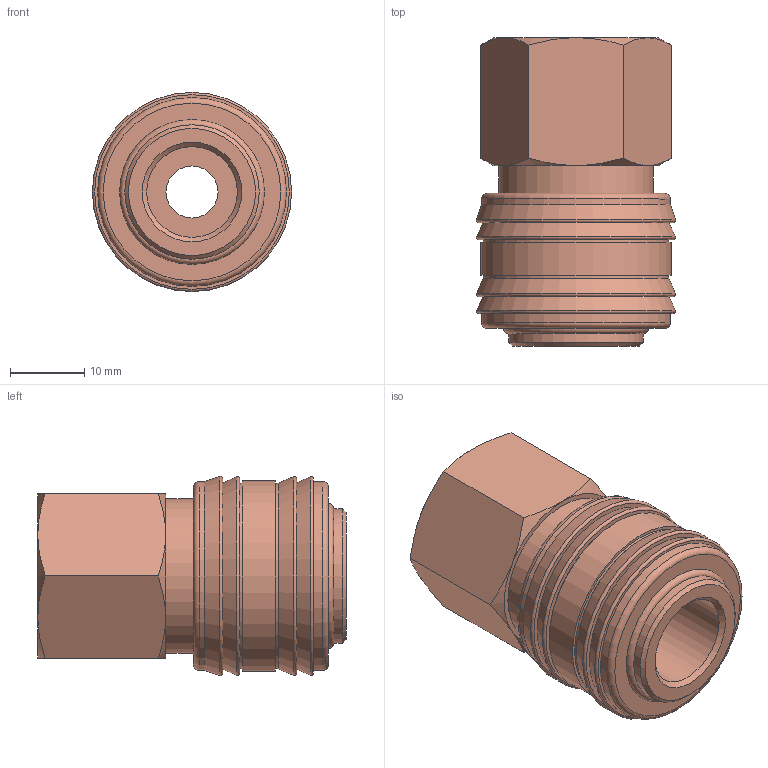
import cadquery as cq
import math

total_length = 41.5

nose_radius = 9.05
nose_chamfer = 0.5
shoulder_radius = 9.75
shoulder_fillet = 0.7
shoulder_start = 1.7

sleeve_start = 2.4
sleeve_end = 20.55
sleeve_radius = 12.7
sleeve_fillet = 0.75

ridge_radius = 13.4
rim_round = 0.3
ridge_root_radius = 12.5
front_ridge_face = 4.4
ridge_pitch = 2.28
rear_ridge_face = 14.35
rear_taper_end = 19.1

belt_radius = 12.85
belt_start = 9.55
belt_end = 14.0
groove_radius = 12.45
belt_taper_start = 9.15

neck_radius = 10.4
hex_sides = 6
hex_length = 17.2
hex_across_flats = 22.2
hex_chamfer_angle = 30
hex_start = total_length - hex_length

plug_bore_radius = 6.1
plug_bore_depth = sleeve_end
bore_chamfer = 0.6
passage_radius = 3.5


def revolve_about_y(profile):
    """Turn a closed profile, drawn as (radius, y), about the Y axis."""
    return profile.close().revolve(360, (0, 0, 0), (0, 1, 0))


def ridge(face_y, back_radius, back_y):
    """Ring with a flat front at face_y whose back tapers down to back_radius at back_y."""
    center_radius = ridge_radius - rim_round
    center_y = face_y + rim_round
    radial_gap = back_radius - center_radius
    axial_gap = back_y - center_y
    back_distance = math.hypot(radial_gap, axial_gap)
    tangent_angle = math.atan2(axial_gap, radial_gap) - math.acos(rim_round / back_distance)

    def rim_point(angle):
        return (
            center_radius + rim_round * math.cos(angle),
            center_y + rim_round * math.sin(angle),
        )

    profile = (
        cq.Workplane("XY")
        .moveTo(neck_radius, face_y)
        .lineTo(center_radius, face_y)
        .threePointArc(rim_point(0), rim_point(tangent_angle))
        .lineTo(back_radius, back_y)
        .lineTo(neck_radius, back_y)
    )
    return revolve_about_y(profile)


def cylinder(radius, start_y, end_y):
    """Solid cylinder on the Y axis between two axial positions."""
    return cq.Workplane("XZ", origin=(0, start_y, 0)).circle(radius).extrude(start_y - end_y)


def make_nose():
    nose = cylinder(nose_radius, 0, sleeve_start).faces("<Y").chamfer(nose_chamfer)
    shoulder = cylinder(shoulder_radius, shoulder_start, sleeve_end)
    return nose.union(shoulder.faces("<Y").edges().fillet(shoulder_fillet))


def make_sleeve():
    second_front_face = front_ridge_face + ridge_pitch
    second_rear_face = rear_ridge_face + ridge_pitch
    front_end = cylinder(sleeve_radius, sleeve_start, front_ridge_face)
    rear_end = cylinder(sleeve_radius, rear_taper_end, sleeve_end)
    sleeve = cylinder(groove_radius, front_ridge_face, rear_taper_end)
    sleeve = sleeve.union(front_end.faces("<Y").edges().fillet(sleeve_fillet))
    sleeve = sleeve.union(rear_end.faces(">Y").edges().fillet(sleeve_fillet))
    sleeve = sleeve.union(cylinder(belt_radius, belt_start, belt_end))
    sleeve = sleeve.union(ridge(front_ridge_face, ridge_root_radius, second_front_face))
    sleeve = sleeve.union(ridge(second_front_face, ridge_root_radius, belt_taper_start))
    sleeve = sleeve.union(ridge(rear_ridge_face, ridge_root_radius, second_rear_face))
    return sleeve.union(ridge(second_rear_face, sleeve_radius, rear_taper_end))


def make_hexagon():
    flat_radius = hex_across_flats / 2
    corner_radius = flat_radius / math.cos(math.pi / hex_sides)
    chamfer_length = (corner_radius - flat_radius) * math.tan(math.radians(hex_chamfer_angle))
    prism = (
        cq.Workplane("XZ", origin=(0, hex_start, 0))
        .polygon(hex_sides, 2 * corner_radius)
        .extrude(-hex_length)
    )
    envelope = (
        cq.Workplane("XY")
        .moveTo(0, hex_start)
        .lineTo(flat_radius, hex_start)
        .lineTo(corner_radius, hex_start + chamfer_length)
        .lineTo(corner_radius, total_length - chamfer_length)
        .lineTo(flat_radius, total_length)
        .lineTo(0, total_length)
    )
    return prism.intersect(revolve_about_y(envelope))


def make_bore():
    profile = (
        cq.Workplane("XY")
        .moveTo(0, 0)
        .lineTo(plug_bore_radius + bore_chamfer, 0)
        .lineTo(plug_bore_radius, bore_chamfer)
        .lineTo(plug_bore_radius, plug_bore_depth)
        .lineTo(passage_radius, plug_bore_depth)
        .lineTo(passage_radius, total_length)
        .lineTo(0, total_length)
    )
    return revolve_about_y(profile)


neck = cylinder(neck_radius, sleeve_end, hex_start)
body = make_nose().union(make_sleeve()).union(neck).union(make_hexagon())
result = body.cut(make_bore())